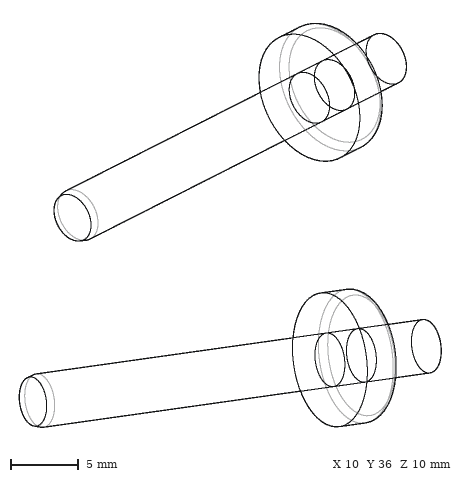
import cadquery as cq
import math

pin_length = 36.0
pin_radius = 2.0
rear_dome_radius = 3.5
front_dome_radius = 4.3
taper_length = 0.6
taper_angle = 15.0

collar_radius = 5.0
collar_thickness = 2.8
collar_edge_fillet = 0.5
rear_tip = 9.2

front_tip = rear_tip - pin_length
front_rim_radius = pin_radius - taper_length * math.tan(math.radians(taper_angle))


def dome_depth(dome_radius, radius):
    """Axial distance from a dome's tip to its surface at the given distance from the axis."""
    return dome_radius - math.sqrt(dome_radius**2 - radius**2)


def make_pin():
    front_rim_y = front_tip + dome_depth(front_dome_radius, front_rim_radius)
    rear_rim_y = rear_tip - dome_depth(rear_dome_radius, pin_radius)
    front_middle_radius = front_rim_radius / 2
    front_middle_y = front_tip + dome_depth(front_dome_radius, front_middle_radius)
    rear_middle_radius = pin_radius / 2
    rear_middle_y = rear_tip - dome_depth(rear_dome_radius, rear_middle_radius)

    profile = (
        cq.Workplane("XY")
        .moveTo(0, front_tip)
        .threePointArc((front_middle_radius, front_middle_y), (front_rim_radius, front_rim_y))
        .lineTo(pin_radius, front_rim_y + taper_length)
        .lineTo(pin_radius, rear_rim_y)
        .threePointArc((rear_middle_radius, rear_middle_y), (0, rear_tip))
        .close()
    )
    return profile.revolve(360, (0, 0, 0), (0, 1, 0))


def make_collar():
    disc = cq.Workplane("XZ").circle(collar_radius).extrude(-collar_thickness)
    disc = disc.faces(">Y").edges().fillet(collar_edge_fillet)
    bore = cq.Workplane("XZ").circle(pin_radius).extrude(-collar_thickness)
    return disc.cut(bore)


pin = make_pin()
collar = make_collar()

result = cq.Compound.makeCompound([pin.val(), collar.val()])